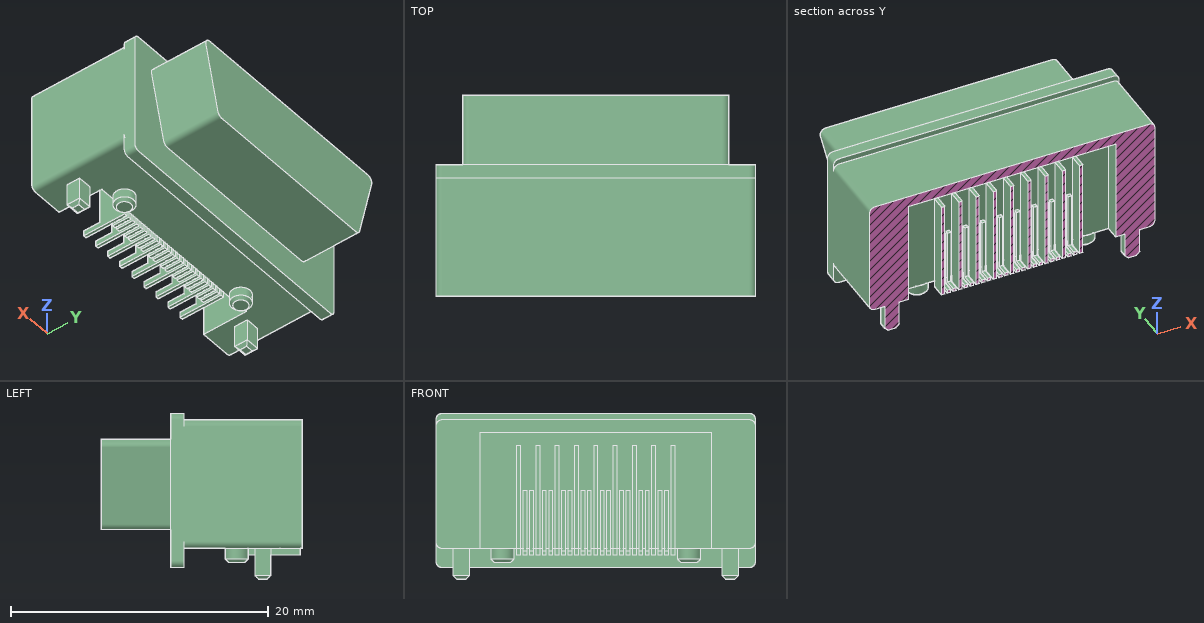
import cadquery as cq
import math


width = 24.85
housing_depth = 9.2
housing_height = 10.0
flange_thickness = 1.05
flange_overhang_top = 0.5
flange_overhang_bottom = 1.5
corner_radius = 0.5

plug_width = 20.7
plug_length = 5.4
plug_bottom = 1.45
plug_top = 8.5
plug_corner_radius = 0.53
plug_side_angle = 14.0

cavity_width = 18.0
cavity_height = 9.0
cavity_depth = 4.25

contact_pitch = 0.5
contact_width = 0.3
contact_count = 25
long_contact_every = 3
contact_bottom = -0.53

long_top = 8.0
long_blade_front = 1.75
long_foot_front = 0.16
long_foot_top = 0.0

short_top = 4.5
short_blade_front = 3.95
short_foot_front = 2.65
short_foot_top = -0.22

peg_x = 7.25
peg_y = 5.1
peg_diameter = 1.8
peg_length = 1.1
peg_chamfer = 0.27

post_x = 10.45
post_y = 3.08
post_width = 1.3
post_depth = 1.25
post_length = 2.4
post_chamfer = 0.3

root_overlap = 0.5

flange_back = housing_depth + flange_thickness


def box_between(x_range, y_range, z_range):
    """Box spanning the given (low, high) ranges."""
    lows, highs = zip(x_range, y_range, z_range)
    sizes = [high - low for low, high in zip(lows, highs)]
    return cq.Workplane("XY").box(*sizes, centered=False).translate(lows)


def rounded_slab(y_range, z_range):
    """Full-width slab with its four edges along Y rounded."""
    slab = box_between((-width / 2, width / 2), y_range, z_range)
    return slab.edges("|Y").fillet(corner_radius)


def make_plug():
    """Tapered plug behind the flange, with rounded edges along Y."""
    angle = math.radians(plug_side_angle)
    corner_to_centre = plug_corner_radius / math.tan(math.pi / 4 - angle / 2)
    sharp_overhang = corner_to_centre - plug_corner_radius
    top_half = plug_width / 2 + sharp_overhang
    bottom_half = top_half - (plug_top - plug_bottom) * math.tan(angle)
    outline = [
        (-top_half, plug_top),
        (top_half, plug_top),
        (bottom_half, plug_bottom),
        (-bottom_half, plug_bottom),
    ]
    plug = cq.Workplane("XZ").polyline(outline).close().extrude(-(plug_length + root_overlap))
    plug = plug.edges("|Y").fillet(plug_corner_radius)
    return plug.translate((0, flange_back - root_overlap, 0))


def make_contact(x, top, blade_front, foot_front, foot_top):
    """L-shaped contact: an upright blade rooted in the cavity wall and a foot reaching forward."""
    x_range = (x - contact_width / 2, x + contact_width / 2)
    blade = box_between(x_range, (blade_front, cavity_depth), (contact_bottom, top))
    root = box_between(x_range, (blade_front, cavity_depth + root_overlap), (0, top))
    foot = box_between(x_range, (foot_front, cavity_depth), (contact_bottom, foot_top))
    return blade.union(root).union(foot)


def make_peg(side):
    """Round peg under the housing with a chamfered tip."""
    peg = cq.Workplane("XY").circle(peg_diameter / 2).extrude(-peg_length)
    peg = peg.faces("<Z").chamfer(peg_chamfer)
    return peg.translate((side * peg_x, peg_y, 0))


def make_post(side):
    """Rectangular post under the housing with a chamfered tip."""
    post = cq.Workplane("XY").rect(post_width, post_depth).extrude(-post_length)
    post = post.faces("<Z").chamfer(post_chamfer)
    return post.translate((side * post_x, post_y, 0))


housing = rounded_slab((0, housing_depth + flange_thickness / 2), (0, housing_height))
flange = rounded_slab(
    (housing_depth, flange_back),
    (-flange_overhang_bottom, housing_height + flange_overhang_top),
)
cavity = box_between((-cavity_width / 2, cavity_width / 2), (0, cavity_depth), (0, cavity_height))
result = housing.union(flange).union(make_plug()).cut(cavity)

for index in range(contact_count):
    contact_x = (index - (contact_count - 1) / 2) * contact_pitch
    if index % long_contact_every == 0:
        contact = make_contact(contact_x, long_top, long_blade_front, long_foot_front, long_foot_top)
    else:
        contact = make_contact(contact_x, short_top, short_blade_front, short_foot_front, short_foot_top)
    result = result.union(contact)

for side in (-1, 1):
    result = result.union(make_peg(side)).union(make_post(side))